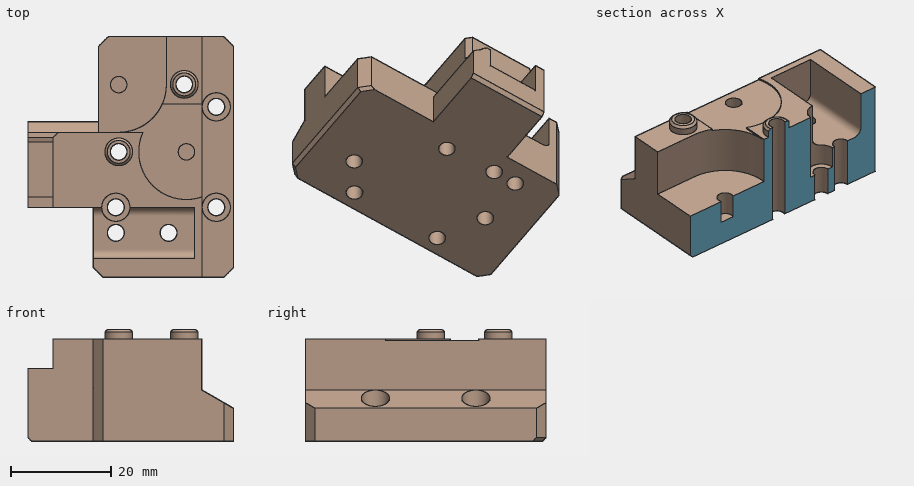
import cadquery as cq
import math

LENGTH = 41.0
DEPTH = 48.0
HEIGHT = 22.3
TOP_Z = 20.45
LEDGE_Z = 10.25

FRONT_LEFT_X = 13.0
REAR_LEFT_X = 14.05
CORNER = 1.95
FLANK_X = 34.65
FLANK_ANGLE = 30.0

WING_FRONT_Y = 13.9
WING_REAR_Y = 31.05
WING_STEP_X = 5.0
WING_WALL_Z = 14.55
SLOT_FRONT_Y = 16.05
SLOT_REAR_Y = 26.95
SLOT_Z = 6.35
STEP_CORNER = 1.05
HORN_TIP_Z = 11.5
HORN_RISE = 2.7
FOOT_CHAMFER = 0.75

SEAT_RADIUS = 9.5
LEDGE_AXLE = (18.1, 38.4)
TOP_AXLE = (31.6, 25.0)
AXLE_HOLE_DIAMETER = 3.25
AXLE_HOLE_DEPTH = 5.0
RECESS_DEPTH = 0.3
LEDGE_WALL_Y = LEDGE_AXLE[1] - SEAT_RADIUS
RECESS_REAR_Y = TOP_AXLE[1] + SEAT_RADIUS

PIN_CENTRES = [(31.15, 38.45), (18.1, 25.0)]
PIN_DIAMETER = 5.5
PIN_BORE = 3.25
PIN_CHAMFER = 0.5

POCKET_FRONT_Y = 3.8
POCKET_RIGHT_X = 33.15
POCKET_Z = 10.6
POCKET_FILLET = 1.7
POCKET_HOLES = [(17.5, 8.9), (28.05, 8.9)]

SCREW_CENTRES = [(17.5, 13.95), (37.55, 13.95), (37.55, 34.0)]
SCREW_DIAMETER = 3.3
SCREW_HEAD_DIAMETER = 5.6
SCREW_HEAD_Z = 6.0


def box(x0, x1, y0, y1, z0, z1):
    """Box between two opposite corners."""
    return cq.Workplane("XY").box(x1 - x0, y1 - y0, z1 - z0, centered=False).translate((x0, y0, z0))


def cylinders(centres, diameter, z0, z1):
    """Upright cylinders of one diameter between two heights."""
    return cq.Workplane("XY").workplane(offset=z0).pushPoints(centres).circle(diameter / 2).extrude(z1 - z0)


def prism_along_x(points, x0, x1):
    """Extrude an outline of (y, z) points along X."""
    return cq.Workplane("YZ").workplane(offset=x0).polyline(points).close().extrude(x1 - x0)


def prism_along_y(points, y0, y1):
    """Extrude an outline of (x, z) points along Y."""
    return cq.Workplane("XZ").workplane(offset=-y1).polyline(points).close().extrude(y1 - y0)


def main_block():
    """Body with cut corners, a chamfered rear foot and a sloped right flank."""
    outline = [
        (FRONT_LEFT_X + CORNER, 0),
        (LENGTH - CORNER, 0),
        (LENGTH, CORNER),
        (LENGTH, DEPTH - CORNER),
        (LENGTH - CORNER, DEPTH),
        (REAR_LEFT_X + CORNER, DEPTH),
        (REAR_LEFT_X, DEPTH - CORNER),
        (REAR_LEFT_X, WING_FRONT_Y),
        (FRONT_LEFT_X, WING_FRONT_Y),
        (FRONT_LEFT_X, CORNER),
    ]
    block = cq.Workplane("XY").polyline(outline).close().extrude(TOP_Z)

    block = chamfer_rear_foot(block)

    flank_drop = (LENGTH - FLANK_X) * math.tan(math.radians(FLANK_ANGLE))
    above_flank = [(FLANK_X, LEDGE_Z), (LENGTH, LEDGE_Z - flank_drop), (LENGTH, TOP_Z), (FLANK_X, TOP_Z)]
    return block.cut(prism_along_y(above_flank, 0, DEPTH))


def chamfer_rear_foot(block):
    """Slope the lower rear edge forward, along the cut corners as well."""
    rear_front_y = DEPTH - 2 * CORNER
    rear_outline = [
        (REAR_LEFT_X, rear_front_y),
        (REAR_LEFT_X, DEPTH - CORNER),
        (REAR_LEFT_X + CORNER, DEPTH),
        (LENGTH - CORNER, DEPTH),
        (LENGTH, DEPTH - CORNER),
        (LENGTH, rear_front_y),
    ]
    lower_outline = [(x, y - FOOT_CHAMFER) for x, y in rear_outline]
    foot = (
        cq.Workplane("XY").polyline(lower_outline).close()
        .workplane(offset=FOOT_CHAMFER).polyline(rear_outline).close()
        .loft(ruled=True)
    )
    return block.cut(box(0, LENGTH, rear_front_y, DEPTH, 0, FOOT_CHAMFER)).union(foot)


def wing():
    """Arm to the left, with an open slot and a ramped horn at its tip."""
    slope_drop = WING_REAR_Y - LEDGE_WALL_Y
    section = [
        (WING_FRONT_Y, 0),
        (WING_REAR_Y, 0),
        (WING_REAR_Y, LEDGE_Z - slope_drop),
        (LEDGE_WALL_Y, LEDGE_Z),
        (LEDGE_WALL_Y, TOP_Z),
        (WING_FRONT_Y, TOP_Z),
    ]
    arm = prism_along_x(section, 0, LEDGE_AXLE[0])
    arm = arm.cut(box(0, WING_STEP_X, WING_FRONT_Y, WING_REAR_Y, WING_WALL_Z, TOP_Z))
    arm = arm.cut(box(0, WING_STEP_X, SLOT_FRONT_Y, LEDGE_WALL_Y, SLOT_Z, TOP_Z))

    ridge_y = LEDGE_WALL_Y - STEP_CORNER
    corner_end_x = WING_STEP_X + STEP_CORNER
    corner = [(WING_STEP_X, ridge_y), (corner_end_x, LEDGE_WALL_Y), (WING_STEP_X, LEDGE_WALL_Y)]
    corner_cut = cq.Workplane("XY").workplane(offset=SLOT_Z).polyline(corner).close().extrude(TOP_Z - SLOT_Z)
    arm = arm.cut(corner_cut).union(horn(ridge_y, corner_end_x))

    foot = [(0, 0), (FOOT_CHAMFER, 0), (0, FOOT_CHAMFER)]
    return arm.cut(prism_along_y(foot, WING_FRONT_Y, WING_REAR_Y))


def horn(ridge_y, end_x):
    """Rear wall of the slot; its top climbs along X and falls at 45 degrees behind the ridge."""
    def section(ridge_z):
        return [
            (SLOT_REAR_Y, SLOT_Z),
            (LEDGE_WALL_Y, SLOT_Z),
            (LEDGE_WALL_Y, ridge_z - STEP_CORNER),
            (ridge_y, ridge_z),
            (SLOT_REAR_Y, ridge_z),
        ]
    end_z = HORN_TIP_Z + HORN_RISE * end_x / WING_STEP_X
    return (
        cq.Workplane("YZ").polyline(section(HORN_TIP_Z)).close()
        .workplane(offset=end_x).polyline(section(end_z)).close()
        .loft(ruled=True)
    )


def ledge_cut():
    """Space above the rear ledge, with a rounded inner corner."""
    x, y = LEDGE_AXLE
    diagonal = SEAT_RADIUS * math.sqrt(0.5)
    return (
        cq.Workplane("XY").workplane(offset=LEDGE_Z)
        .moveTo(0, LEDGE_WALL_Y)
        .lineTo(x, LEDGE_WALL_Y)
        .threePointArc((x + diagonal, y - diagonal), (x + SEAT_RADIUS, y))
        .lineTo(x + SEAT_RADIUS, DEPTH)
        .lineTo(0, DEPTH)
        .close()
        .extrude(TOP_Z - LEDGE_Z)
    )


def recess_cut():
    """Shallow round seat in the top face, opened straight towards the ledge."""
    floor_z = TOP_Z - RECESS_DEPTH
    disc = cylinders([TOP_AXLE], 2 * SEAT_RADIUS, floor_z, TOP_Z)
    return disc.union(box(LEDGE_AXLE[0], LENGTH, LEDGE_WALL_Y, RECESS_REAR_Y, floor_z, TOP_Z))


def pocket_cut():
    """Front pocket, open to the left and above, with rounded lower edges."""
    pocket = box(FRONT_LEFT_X, POCKET_RIGHT_X, POCKET_FRONT_Y, WING_FRONT_Y, POCKET_Z, TOP_Z)
    return pocket.edges("|X and <Z").fillet(POCKET_FILLET)


def pins():
    """Two pins with chamfered rims."""
    return cylinders(PIN_CENTRES, PIN_DIAMETER, TOP_Z, HEIGHT).faces(">Z").edges().chamfer(PIN_CHAMFER)


result = main_block().union(wing())
result = result.cut(ledge_cut()).cut(recess_cut()).cut(pocket_cut())
result = result.union(pins())
result = result.cut(cylinders(PIN_CENTRES, PIN_BORE, 0, HEIGHT))
result = result.cut(cylinders(SCREW_CENTRES + POCKET_HOLES, SCREW_DIAMETER, 0, TOP_Z))
result = result.cut(cylinders(SCREW_CENTRES, SCREW_HEAD_DIAMETER, SCREW_HEAD_Z, TOP_Z))
for axle, surface_z in [(LEDGE_AXLE, LEDGE_Z), (TOP_AXLE, TOP_Z)]:
    result = result.cut(cylinders([axle], AXLE_HOLE_DIAMETER, surface_z - AXLE_HOLE_DEPTH, surface_z))